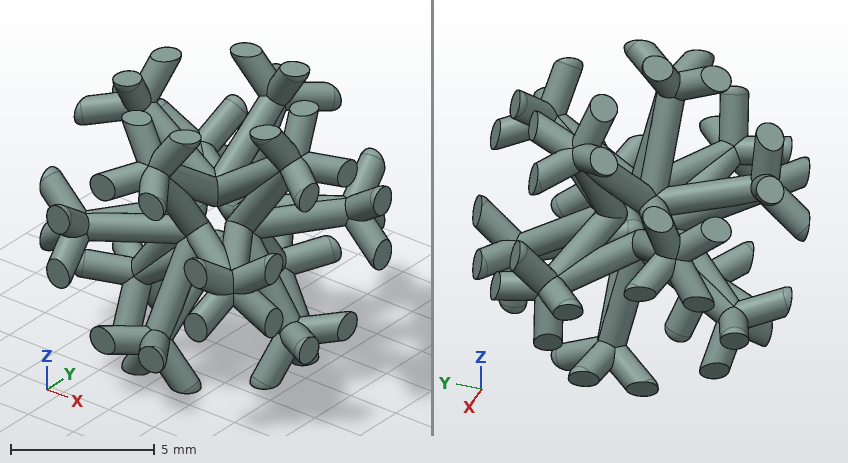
import cadquery as cq

cell_size = 10.0
strut_diameter = 1.0
hub_offset = 1.035
branch_offset = 3.385
tip_offset = 3.05
tip_spread = 1.13

half_cell = cell_size / 2
strut_radius = strut_diameter / 2
signs = (1, -1)
axis_pairs = ((0, 1), (1, 2), (2, 0))


def ball(center):
    """Sphere of strut radius that rounds off a node or a strut tip."""
    return cq.Workplane("XY").sphere(strut_radius).translate(center).val()


def strut(start, end):
    """Round bar running from one point to another."""
    origin = cq.Vector(*start)
    span = cq.Vector(*end) - origin
    return cq.Solid.makeCylinder(strut_radius, span.Length, origin, span)


def point(first_axis, first, second_axis, second, third=0.0):
    """Point with the given coordinates on two axes and on the remaining axis."""
    coordinates = [third] * 3
    coordinates[first_axis] = first
    coordinates[second_axis] = second
    return tuple(coordinates)


def branch(first_axis, first_sign, second_axis, second_sign):
    """Branch node in one coordinate plane: two struts to the hubs, four to the cell faces."""
    def local(first, second, third=0.0):
        return point(first_axis, first_sign * first, second_axis, second_sign * second, third)

    node = local(branch_offset, branch_offset)
    solids = [ball(node)]
    for hub in (local(hub_offset, 0.0), local(0.0, hub_offset)):
        solids.append(strut(node, hub))
    for side in signs:
        spread = side * tip_spread
        for tip in (local(half_cell, tip_offset, spread), local(tip_offset, half_cell, spread)):
            solids.append(strut(node, tip))
            solids.append(ball(tip))
    return solids


def hubs():
    """Balls at the six inner hubs, one on each side of the centre along every axis."""
    return [
        ball(point(axis, sign * hub_offset, other, 0.0))
        for axis, other in axis_pairs
        for sign in signs
    ]


def lattice():
    """All balls and struts of the cell, fused together."""
    solids = hubs()
    for first_axis, second_axis in axis_pairs:
        for first_sign in signs:
            for second_sign in signs:
                solids += branch(first_axis, first_sign, second_axis, second_sign)
    return cq.Workplane(solids[0].fuse(*solids[1:]))


cell = cq.Workplane("XY").box(cell_size, cell_size, cell_size)
result = lattice().intersect(cell)